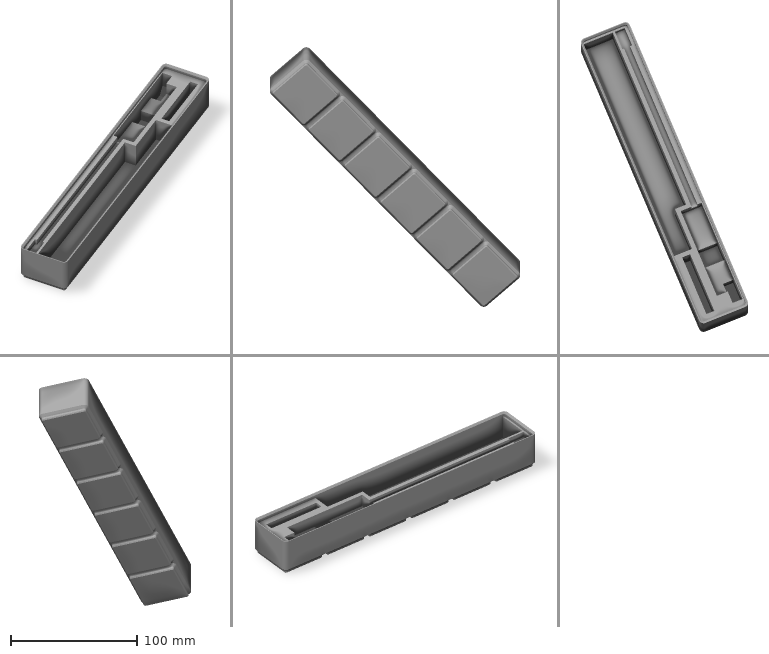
import cadquery as cq

WIDTH = 41.5
LENGTH = 251.5
HEIGHT = 31.7
CORNER_RADIUS = 3.8

FOOT_COUNT = 6
FOOT_PITCH = 42.0
FOOT_SIZE = WIDTH
FOOT_LOWER_CHAMFER = 0.8
FOOT_STRAIGHT = 1.8
FOOT_UPPER_CHAMFER = 2.05
FOOT_HEIGHT = FOOT_LOWER_CHAMFER + FOOT_STRAIGHT + FOOT_UPPER_CHAMFER

DECK_Z = 28.0
LIP_TOP_THICKNESS = 0.63
LIP_THICKNESS = 1.89
LIP_SLOPE = LIP_THICKNESS - LIP_TOP_THICKNESS

BASE_FLOOR_Z = 7.5
HANDLE_FLOOR_Z = 17.0
ROD_FLOOR_Z = 23.0

TRAY_RIGHT = WIDTH / 2 - LIP_THICKNESS
POCKET_FRONT = -122.2

HANDLE_LEFT = -18.0
HANDLE_RIGHT = -0.3
HANDLE_FRONT = 33.0
HANDLE_BACK = 108.0
GRIP_FRONT = 65.5
GRIP_BACK = 80.5

END_RIGHT = -9.5
END_FRONT = 98.0
END_BACK = 118.0
RAMP_RUN = 4.8
RAMP_RISE = 7.0
BEVEL_RUN = 1.5
BEVEL_RISE = 0.5

ROD_LEFT = -14.5
ROD_RIGHT = END_RIGHT
TIP_LEFT = -16.3
TIP_RIGHT = -8.0
TIP_BACK = -107.0

TRAY_LEFT = -6.3
TRAY_STEP_X = 3.3
TRAY_STEP_Y = 29.7
TRAY_BACK = 65.0

SLOT_LEFT = 6.3
SLOT_RIGHT = 13.0
SLOT_FRONT = 68.5
SLOT_BACK = 118.5


def rounded_outline(width, length, radius):
    """Rectangle with rounded corners, centred on the origin."""
    return cq.Sketch().rect(width, length).vertices().fillet(radius)


def rounded_block(width, length, radius, bottom, top):
    """Upright block centred on the Z axis, with rounded vertical edges."""
    outline = rounded_outline(width, length, radius)
    return cq.Workplane("XY", origin=(0, 0, bottom)).placeSketch(outline).extrude(top - bottom)


def pocket(left, right, front, back, floor):
    """Rectangular cutter from a floor level up to the deck."""
    corner = cq.Workplane("XY", origin=(left, front, floor))
    return corner.box(right - left, back - front, DECK_Z - floor, centered=False)


def flared_block(width, length, radius, bottom, rise):
    """Block that widens by 45 degrees on every side up to the given size at its top."""
    lower = rounded_outline(width - 2 * rise, length - 2 * rise, radius - rise)
    upper = rounded_outline(width, length, radius).moved(cq.Location(cq.Vector(0, 0, rise)))
    return cq.Workplane("XY", origin=(0, 0, bottom)).placeSketch(lower, upper).loft()


def foot():
    """One foot: lower chamfer, straight band and upper chamfer."""
    waist = FOOT_SIZE - 2 * FOOT_UPPER_CHAMFER
    waist_radius = CORNER_RADIUS - FOOT_UPPER_CHAMFER
    waist_top = FOOT_LOWER_CHAMFER + FOOT_STRAIGHT
    lower = flared_block(waist, waist, waist_radius, 0, FOOT_LOWER_CHAMFER)
    band = rounded_block(waist, waist, waist_radius, FOOT_LOWER_CHAMFER, waist_top)
    upper = flared_block(FOOT_SIZE, FOOT_SIZE, CORNER_RADIUS, waist_top, FOOT_UPPER_CHAMFER)
    return lower.union(band).union(upper)


def lip_opening():
    """Cutter above the deck that leaves a lip with a sloped upper inner face."""
    width = WIDTH - 2 * LIP_TOP_THICKNESS
    length = LENGTH - 2 * LIP_TOP_THICKNESS
    radius = CORNER_RADIUS - LIP_TOP_THICKNESS
    slope_z = HEIGHT - LIP_SLOPE
    flare = flared_block(width, length, radius, slope_z, LIP_SLOPE)
    straight = rounded_block(
        width - 2 * LIP_SLOPE,
        length - 2 * LIP_SLOPE,
        radius - LIP_SLOPE,
        DECK_Z,
        slope_z,
    )
    return straight.union(flare)


def end_pocket():
    """Deep pocket less the ramp at its back and the shallow bevel along its left."""
    cutter = pocket(HANDLE_LEFT, END_RIGHT, END_FRONT, END_BACK, BASE_FLOOR_Z)
    ramp = (
        cq.Workplane("YZ", origin=(HANDLE_LEFT, 0, 0))
        .moveTo(END_BACK, BASE_FLOOR_Z)
        .lineTo(END_BACK, BASE_FLOOR_Z + RAMP_RISE)
        .lineTo(END_BACK - RAMP_RUN, BASE_FLOOR_Z)
        .close()
        .extrude(END_RIGHT - HANDLE_LEFT)
    )
    bevel = (
        cq.Workplane("XZ", origin=(0, END_BACK, 0))
        .moveTo(HANDLE_LEFT, BASE_FLOOR_Z)
        .lineTo(HANDLE_LEFT, BASE_FLOOR_Z + BEVEL_RISE)
        .lineTo(HANDLE_LEFT + BEVEL_RUN, BASE_FLOOR_Z)
        .close()
        .extrude(END_BACK - END_FRONT)
    )
    return cutter.cut(ramp).cut(bevel)


def tray():
    """L-shaped tray: a wide front part and a narrower part reaching further back."""
    front_part = pocket(TRAY_LEFT, TRAY_RIGHT, POCKET_FRONT, TRAY_STEP_Y, BASE_FLOOR_Z)
    back_part = pocket(TRAY_STEP_X, TRAY_RIGHT, POCKET_FRONT, TRAY_BACK, BASE_FLOOR_Z)
    return front_part.union(back_part)


body = rounded_block(WIDTH, LENGTH, CORNER_RADIUS, FOOT_HEIGHT, HEIGHT)
for index in range(FOOT_COUNT):
    foot_y = (index - (FOOT_COUNT - 1) / 2) * FOOT_PITCH
    body = body.union(foot().translate((0, foot_y, 0)))

body = body.cut(lip_opening())
body = body.cut(pocket(HANDLE_LEFT, HANDLE_RIGHT, HANDLE_FRONT, HANDLE_BACK, HANDLE_FLOOR_Z))
body = body.cut(pocket(HANDLE_LEFT, HANDLE_RIGHT, GRIP_FRONT, GRIP_BACK, BASE_FLOOR_Z))
body = body.cut(end_pocket())
body = body.cut(pocket(ROD_LEFT, ROD_RIGHT, TIP_BACK, HANDLE_FRONT, ROD_FLOOR_Z))
body = body.cut(pocket(TIP_LEFT, TIP_RIGHT, POCKET_FRONT, TIP_BACK, ROD_FLOOR_Z))
body = body.cut(tray())
body = body.cut(pocket(SLOT_LEFT, SLOT_RIGHT, SLOT_FRONT, SLOT_BACK, BASE_FLOOR_Z))

result = body